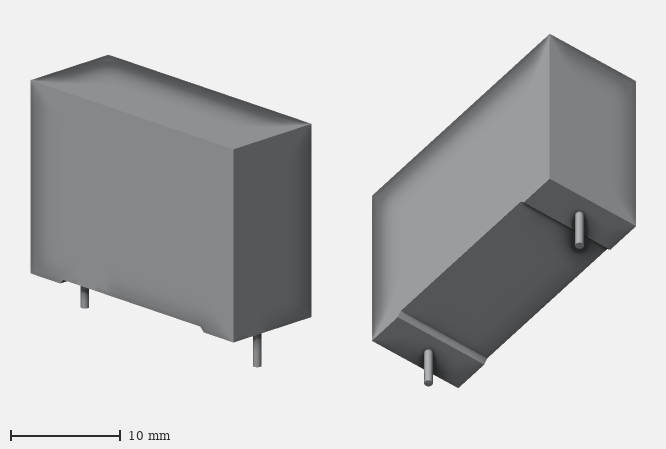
import cadquery as cq
import math


housing_length = 26.5
housing_width = 10.0
housing_height = 18.7
foot_length = 3.87
standoff_height = 0.45
standoff_slope = standoff_height

wire_diameter = 0.8
pin_pitch = 22.5
pin_length = 4.0
bend_radius = wire_diameter
crossbar_height = standoff_height + 2 * wire_diameter


def make_lead():
    """One bent wire: pin, bend, crossbar, bend, pin."""
    half_pitch = pin_pitch / 2
    bend_offset = bend_radius * (1 - math.sqrt(0.5))
    bend_start = crossbar_height - bend_radius
    crossbar_end = half_pitch - bend_radius
    bend_middle_x = half_pitch - bend_offset
    bend_middle_z = crossbar_height - bend_offset

    centreline = (
        cq.Workplane("XZ")
        .moveTo(-half_pitch, -pin_length)
        .lineTo(-half_pitch, bend_start)
        .threePointArc((-bend_middle_x, bend_middle_z), (-crossbar_end, crossbar_height))
        .lineTo(crossbar_end, crossbar_height)
        .threePointArc((bend_middle_x, bend_middle_z), (half_pitch, bend_start))
        .lineTo(half_pitch, -pin_length)
    )
    return (
        cq.Workplane("XY", origin=(-half_pitch, 0, -pin_length))
        .circle(wire_diameter / 2)
        .sweep(centreline)
    )


def make_housing(embedded_lead):
    """Block with a shallow standoff recess underneath and a channel for the lead."""
    half_length = housing_length / 2
    foot_inner = half_length - foot_length
    recess_end = foot_inner - standoff_slope

    block = (
        cq.Workplane("XZ")
        .moveTo(-half_length, 0)
        .lineTo(-foot_inner, 0)
        .lineTo(-recess_end, standoff_height)
        .lineTo(recess_end, standoff_height)
        .lineTo(foot_inner, 0)
        .lineTo(half_length, 0)
        .lineTo(half_length, housing_height)
        .lineTo(-half_length, housing_height)
        .close()
        .extrude(housing_width / 2, both=True)
    )
    return block.cut(embedded_lead).solids()


lead = make_lead()
housing = make_housing(lead)

result = cq.Compound.makeCompound([housing.val(), lead.val()])